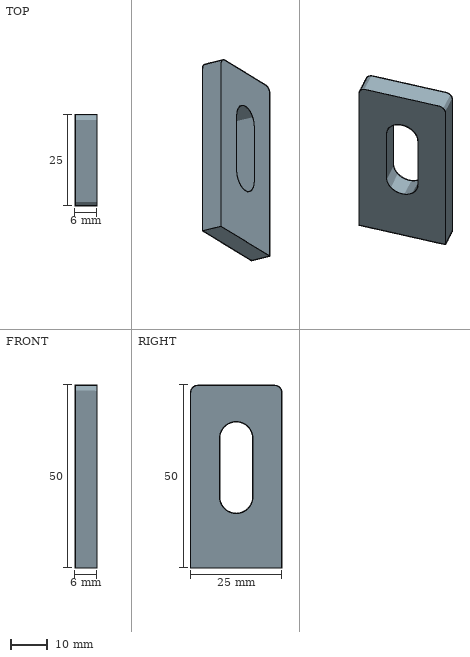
import cadquery as cq

thickness = 6
width = 25
height = 50
corner_radius = 2

slot_width = 9
slot_length = 25
slot_top_margin = 10
slot_center_z = height - slot_top_margin - slot_length / 2

plate = (
    cq.Workplane("XY")
    .box(thickness, width, height, centered=(True, True, False))
    .edges("|X and >Z")
    .fillet(corner_radius)
)

slot = (
    cq.Workplane("YZ")
    .center(0, slot_center_z)
    .slot2D(slot_length, slot_width, angle=90)
    .extrude(thickness, both=True)
)

result = plate.cut(slot)